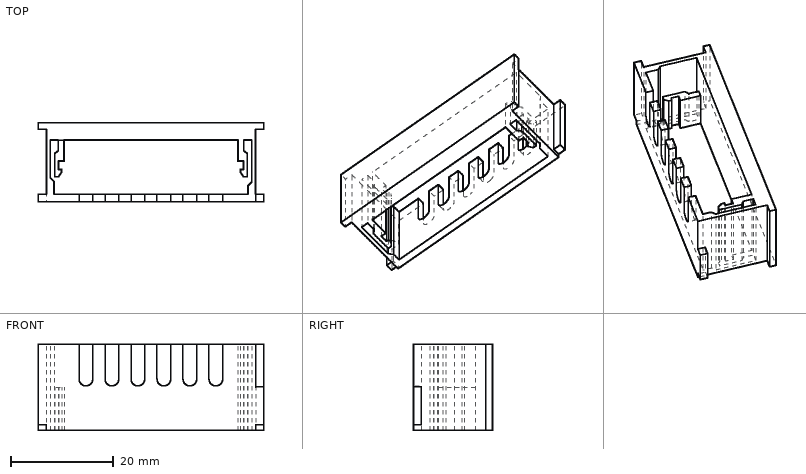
import cadquery as cq

length = 44.1
depth = 15.5
height = 16.85

flange_overhang = 1.65
side_wall = 0.8
back_wall = 3.45
back_flange = 1.32
front_wall = 1.5

foot_step = 0.7
left_foot_end = 3.95
right_foot_end = 3.18

slot_count = 6
slot_pitch = 5.07
slot_width = 2.7
slot_depth = 8.15
first_slot = 9.35

corner_notch_height = 1.05
right_notch_depth = 8.4

left = -length / 2
front = -depth / 2
back = depth / 2
body_length = length - 2 * flange_overhang
wall_inset = flange_overhang + side_wall
foot_inset = wall_inset + foot_step
inner_back = depth - back_wall

left_latch_height = height / 2

latch_profile = [
    (3.93, inner_back),
    (3.93, 9.95),
    (3.2, 9.45),
    (3.2, 4.9),
    (4.0, 4.9),
    (4.6, 5.75),
    (4.6, 6.35),
    (4.0, 6.35),
    (4.0, 7.95),
    (5.1, 7.95),
    (5.1, inner_back),
]


def block(x, y, z, size_x, size_y, size_z):
    """Box whose minimum corner is at (x, y, z)."""
    return cq.Workplane("XY").box(size_x, size_y, size_z, centered=False).translate((x, y, z))


def upright(points, prism_height):
    """Prism rising from the base, from points measured from the left front corner."""
    return cq.Workplane("XY", origin=(left, front, 0)).polyline(points).close().extrude(prism_height)


def latch(latch_height):
    """Latch arm at the left end, rooted slightly inside the back wall."""
    root_overlap = 0.45
    root_start = (latch_profile[0][0], inner_back + root_overlap)
    root_end = (latch_profile[-1][0], inner_back + root_overlap)
    return upright([root_start] + latch_profile + [root_end], latch_height)


def frame():
    """Bottomless rectangular frame with overhanging front and back flanges."""
    body = block(left + flange_overhang, front, 0, body_length, depth, height)
    body = body.union(block(left, front, 0, length, front_wall, height))
    body = body.union(block(left, back - back_flange, 0, length, back_flange, height))
    cavity = upright([
        (foot_inset, front_wall),
        (foot_inset, left_foot_end),
        (wall_inset, left_foot_end + foot_step),
        (wall_inset, inner_back),
        (length - wall_inset, inner_back),
        (length - wall_inset, right_foot_end + foot_step),
        (length - foot_inset, right_foot_end),
        (length - foot_inset, front_wall),
    ], height)
    return body.cut(cavity)


def slot(x):
    """Round-bottomed slot through the front wall, open at the top."""
    radius = slot_width / 2
    arc_height = height - slot_depth + radius
    return (
        cq.Workplane("XZ", origin=(x, front + front_wall, 0))
        .moveTo(-radius, height)
        .lineTo(-radius, arc_height)
        .threePointArc((0, height - slot_depth), (radius, arc_height))
        .lineTo(radius, height)
        .close()
        .extrude(front_wall)
    )


def flange_notch(x, z, notch_height):
    """Removes a length of the front flange overhang."""
    return block(x, front, z, flange_overhang, front_wall, notch_height)


right_latch = latch(height).mirror("YZ")
result = frame().union(latch(left_latch_height)).union(right_latch)

for index in range(slot_count):
    result = result.cut(slot(left + first_slot + index * slot_pitch))

right_overhang = length / 2 - flange_overhang
result = result.cut(flange_notch(left, 0, corner_notch_height))
result = result.cut(flange_notch(right_overhang, 0, corner_notch_height))
result = result.cut(flange_notch(right_overhang, height - right_notch_depth, right_notch_depth))